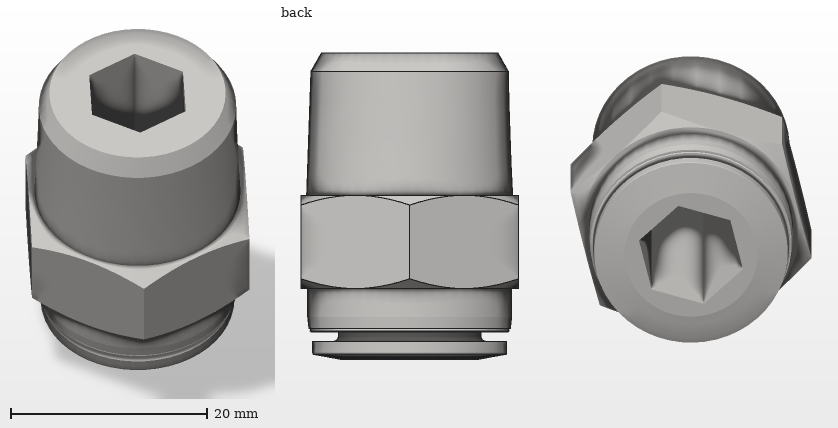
import cadquery as cq
import math

total_height = 31.3
collar_rim_low = 0.55
collar_edge = 0.75
collar_top = 1.88
lip_bottom = 2.85
lip_crest = 2.95
sleeve_bottom = 3.2
sleeve_taper_top = 4.35
hex_bottom = 7.25
hex_top = 16.78
thread_chamfer_bottom = 29.4

collar_face_diameter = 13.58
collar_diameter = 19.8
collar_edge_inset = 0.03
neck_diameter = 14.6
neck_fillet = 0.47
lip_bottom_diameter = 20.13
lip_diameter = 20.3
lip_root_diameter = 20.13
sleeve_lower_diameter = 20.55
sleeve_diameter = 20.8
thread_base_diameter = 21.03
thread_end_diameter = 20.15
thread_tip_diameter = 18.0

hex_flats = 22.22
socket_flats = 9.58
hex_chamfer_angle = 30.0


def hex_prism(across_flats, bottom, top):
    corner_diameter = across_flats / math.cos(math.radians(30))
    return (
        cq.Workplane("XY")
        .workplane(offset=bottom)
        .transformed(rotate=(0, 0, 30))
        .polygon(6, corner_diameter)
        .extrude(top - bottom)
    )


def revolve_half_profile(profile):
    return profile.close().revolve(360, (0, 0, 0), (0, 1, 0))


def make_collar_and_sleeve():
    neck_radius = neck_diameter / 2
    collar_radius = collar_diameter / 2
    fillet_drop = neck_fillet * math.sqrt(0.5)
    profile = (
        cq.Workplane("XZ")
        .lineTo(collar_face_diameter / 2, 0)
        .lineTo(collar_radius - collar_edge_inset, collar_rim_low)
        .lineTo(collar_radius, collar_edge)
        .lineTo(collar_radius, collar_top)
        .lineTo(neck_radius + neck_fillet, collar_top)
        .threePointArc(
            (neck_radius + neck_fillet - fillet_drop, collar_top + neck_fillet - fillet_drop),
            (neck_radius, collar_top + neck_fillet),
        )
        .lineTo(neck_radius, lip_bottom)
        .lineTo(lip_bottom_diameter / 2, lip_bottom)
        .lineTo(lip_diameter / 2, lip_crest)
        .lineTo(lip_root_diameter / 2, sleeve_bottom)
        .lineTo(sleeve_lower_diameter / 2, sleeve_bottom)
        .lineTo(sleeve_diameter / 2, sleeve_taper_top)
        .lineTo(sleeve_diameter / 2, hex_bottom)
        .lineTo(0, hex_bottom)
    )
    return revolve_half_profile(profile)


def make_hex_nut():
    flat_radius = hex_flats / 2
    corner_radius = flat_radius / math.cos(math.radians(30))
    chamfer_height = (corner_radius - flat_radius) * math.tan(math.radians(hex_chamfer_angle))
    profile = (
        cq.Workplane("XZ")
        .moveTo(0, hex_bottom)
        .lineTo(flat_radius, hex_bottom)
        .lineTo(corner_radius, hex_bottom + chamfer_height)
        .lineTo(corner_radius, hex_top - chamfer_height)
        .lineTo(flat_radius, hex_top)
        .lineTo(0, hex_top)
    )
    return hex_prism(hex_flats, hex_bottom, hex_top).intersect(revolve_half_profile(profile))


def make_thread_body():
    profile = (
        cq.Workplane("XZ")
        .moveTo(0, hex_top)
        .lineTo(thread_base_diameter / 2, hex_top)
        .lineTo(thread_end_diameter / 2, thread_chamfer_bottom)
        .lineTo(thread_tip_diameter / 2, total_height)
        .lineTo(0, total_height)
    )
    return revolve_half_profile(profile)


body = make_collar_and_sleeve().union(make_hex_nut()).union(make_thread_body())
result = body.cut(hex_prism(socket_flats, 0, total_height))